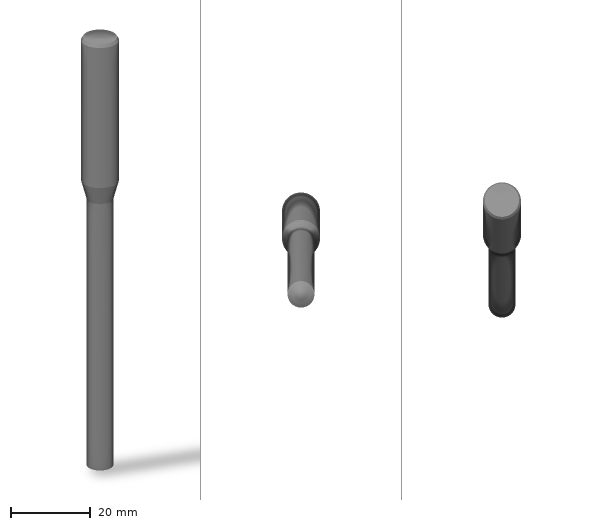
import cadquery as cq

total_length = 120.6
shank_diameter = 9.5
drill_diameter = 6.8
chamfer_height = 0.8
chamfer_width = 0.5
shank_length = 39.8
taper_length = 5.1
drill_length = 61.1
point_height = 1.6

shank_radius = shank_diameter / 2
drill_radius = drill_diameter / 2
shank_bottom = total_length - shank_length
taper_bottom = shank_bottom - taper_length


def revolved_body(profile):
    """Revolve a (radius, height) profile about the Z axis."""
    return cq.Workplane("XZ").polyline(profile).close().revolve(360, (0, 0), (0, 1))


holder = revolved_body([
    (0, drill_length),
    (drill_radius, drill_length),
    (drill_radius, taper_bottom),
    (shank_radius, shank_bottom),
    (shank_radius, total_length - chamfer_height),
    (shank_radius - chamfer_width, total_length),
    (0, total_length),
])

drill = revolved_body([
    (0, 0),
    (drill_radius, point_height),
    (drill_radius, drill_length),
    (0, drill_length),
])

result = cq.Compound.makeCompound([holder.val(), drill.val()])